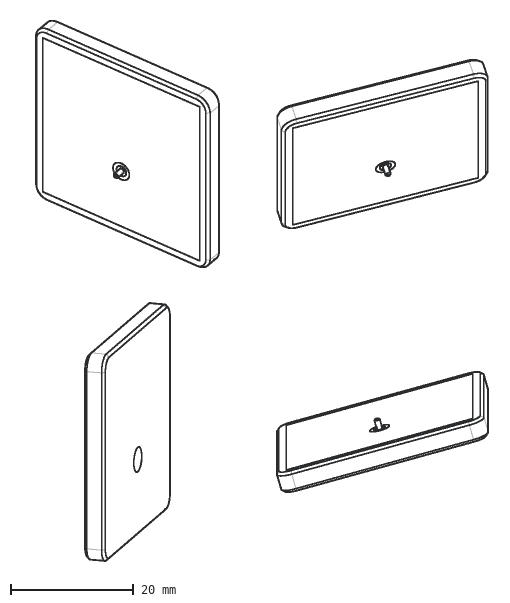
import cadquery as cq

plate_side = 35.0
plate_thickness = 3.5
corner_radius = 2.5
edge_chamfer = 0.5

layer_side = 31.5
layer_thickness = 0.018
layer_clearance_diameter = 3.3

feed_z = -4.5
bushing_diameter = 1.92
bushing_recess = 0.1
pin_diameter = 0.9
pin_projection = 1.68
pin_tip_chamfer = 0.2
dome_diameter = 4.13
dome_height = 0.5

front_y = -plate_thickness / 2
back_y = plate_thickness / 2


def cylinder_along_y(diameter, start_y, end_y):
    """Cylinder on the feed axis, running in +Y from start_y to end_y."""
    start = cq.Vector(0, start_y, feed_z)
    return cq.Workplane(cq.Solid.makeCylinder(diameter / 2, end_y - start_y, start, cq.Vector(0, 1, 0)))


def square_slab(side, start_y, end_y):
    """Square slab centred on the Y axis, from start_y to end_y."""
    middle_y = (start_y + end_y) / 2
    return cq.Workplane().box(side, end_y - start_y, side).translate((0, middle_y, 0))


def make_plate():
    """Rounded square plate, chamfered on both faces, bored for the bushing."""
    slab = square_slab(plate_side, front_y, back_y)
    slab = slab.edges("|Y").fillet(corner_radius)
    slab = slab.faces("<Y or >Y").edges().chamfer(edge_chamfer)
    return slab.cut(cylinder_along_y(bushing_diameter, front_y, back_y))


def make_layer():
    """Thin square layer lying on the front face, with a round clearance hole."""
    layer_front_y = front_y - layer_thickness
    sheet = square_slab(layer_side, layer_front_y, front_y)
    return sheet.cut(cylinder_along_y(layer_clearance_diameter, layer_front_y, front_y))


def make_bushing():
    """Sleeve around the pin in the plate bore, set slightly below the front face."""
    bushing_front_y = front_y + bushing_recess
    sleeve = cylinder_along_y(bushing_diameter, bushing_front_y, back_y)
    return sleeve.cut(cylinder_along_y(pin_diameter, bushing_front_y, back_y))


def make_pin():
    """Round pin through the bushing, with a chamfered tip in front of the plate."""
    pin = cylinder_along_y(pin_diameter, front_y - pin_projection, back_y)
    return pin.faces("<Y").edges().chamfer(pin_tip_chamfer)


def make_dome():
    """Spherical cap of solder on the back face, covering the pin end."""
    base_radius = dome_diameter / 2
    sphere_radius = (base_radius**2 + dome_height**2) / (2 * dome_height)
    sphere_y = back_y + dome_height - sphere_radius
    sphere = cq.Workplane().sphere(sphere_radius).translate((0, sphere_y, feed_z))
    return sphere.intersect(cylinder_along_y(dome_diameter, back_y, back_y + dome_height))


plate = make_plate()
layer = make_layer()
bushing = make_bushing()
pin = make_pin()
dome = make_dome()

result = cq.Compound.makeCompound([plate.val(), layer.val(), bushing.val(), pin.val(), dome.val()])